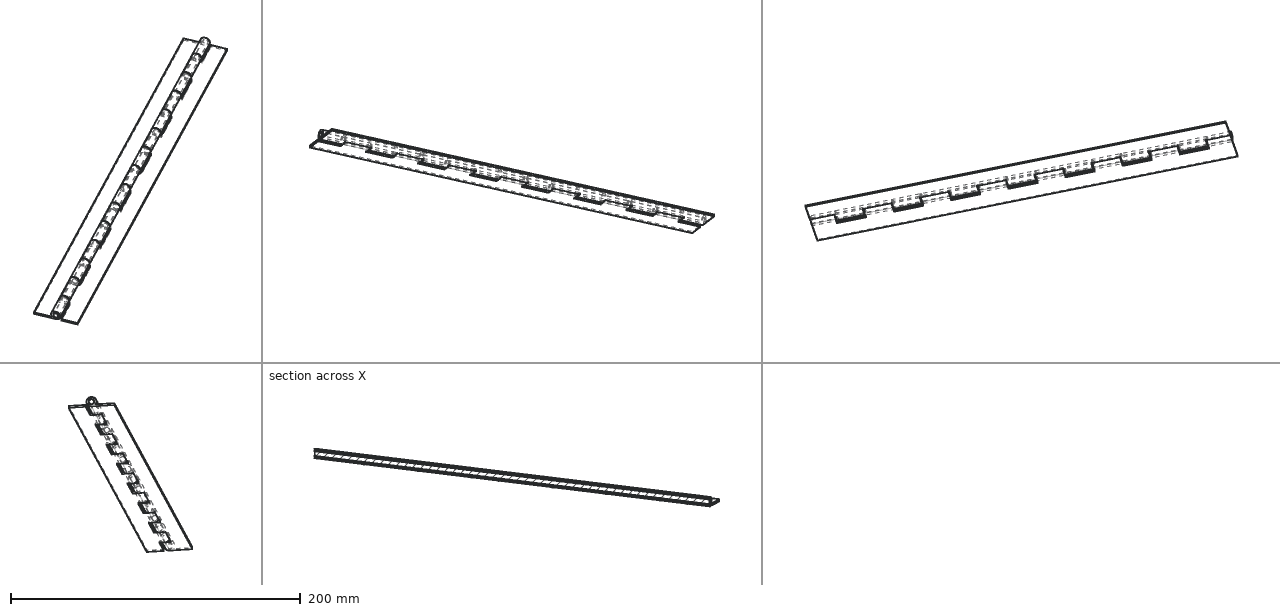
import cadquery as cq

length = 300.0
width = 32.0
barrel_diameter = 7.0
sheet_thickness = 1.5
pin_clearance = 0.25
knuckle_count = 15
knuckle_pitch = 20.4
joint_gap = 0.4
notch_clearance = 0.5

barrel_radius = barrel_diameter / 2
bore_radius = barrel_radius - sheet_thickness
pin_radius = bore_radius - pin_clearance
leaf_width = width / 2
notch_reach = barrel_radius + notch_clearance
joint_count = knuckle_count - 1
first_joint = -knuckle_pitch * (joint_count - 1) / 2
joints = [first_joint + i * knuckle_pitch for i in range(joint_count)]

stations = [-length / 2] + joints + [length / 2]


def rod(radius, start, end):
    """Cylinder on the hinge axis between two Y positions."""
    axis_start = cq.Workplane("XZ", origin=(0, start, barrel_radius))
    return axis_start.circle(radius).extrude(start - end)


def knuckle_span(index):
    """Y range of one knuckle, shortened by half a gap at each joint."""
    start = stations[index]
    end = stations[index + 1]
    if index > 0:
        start += joint_gap / 2
    if index < knuckle_count - 1:
        end -= joint_gap / 2
    return start, end


def make_leaf(side, first_knuckle):
    """Flat leaf with rolled knuckles; side is -1 for the left leaf and +1 for the right."""
    plate_width = leaf_width - notch_reach
    plate_center = side * (leaf_width + notch_reach) / 2
    on_base = (True, True, False)
    leaf = cq.Workplane("XY").box(plate_width, length, sheet_thickness, centered=on_base)
    leaf = leaf.translate((plate_center, 0, 0))
    for index in range(first_knuckle, knuckle_count, 2):
        start, end = knuckle_span(index)
        tab = cq.Workplane("XY").box(notch_reach, end - start, sheet_thickness, centered=on_base)
        tab = tab.translate((side * notch_reach / 2, (start + end) / 2, 0))
        leaf = leaf.union(tab).union(rod(barrel_radius, start, end))
    return leaf.cut(rod(bore_radius, -length / 2, length / 2))


left_leaf = make_leaf(-1, 0)
right_leaf = make_leaf(1, 1)
pin = rod(pin_radius, -length / 2, length / 2)

result = cq.Compound.makeCompound([left_leaf.val(), right_leaf.val(), pin.val()])